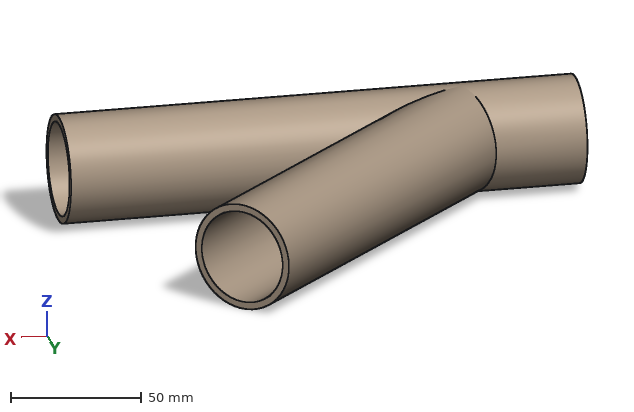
import cadquery as cq
import math

run_length = 203.2
outer_diameter = 42.3
bore_diameter = 36.5
branch_angle = 45.0
branch_length = 158.7
junction_x = 44.7

run_start = cq.Vector(0, 0, 0)
run_direction = cq.Vector(1, 0, 0)
junction = cq.Vector(junction_x, 0, 0)
branch_direction = cq.Vector(
    math.cos(math.radians(branch_angle)),
    math.sin(math.radians(branch_angle)),
    0,
)


def fitting_body(diameter):
    """Union of the run and branch cylinders at one diameter."""
    radius = diameter / 2
    run = cq.Solid.makeCylinder(radius, run_length, run_start, run_direction)
    branch = cq.Solid.makeCylinder(radius, branch_length, junction, branch_direction)
    return cq.Workplane(run).union(cq.Workplane(branch))


result = fitting_body(outer_diameter).cut(fitting_body(bore_diameter))